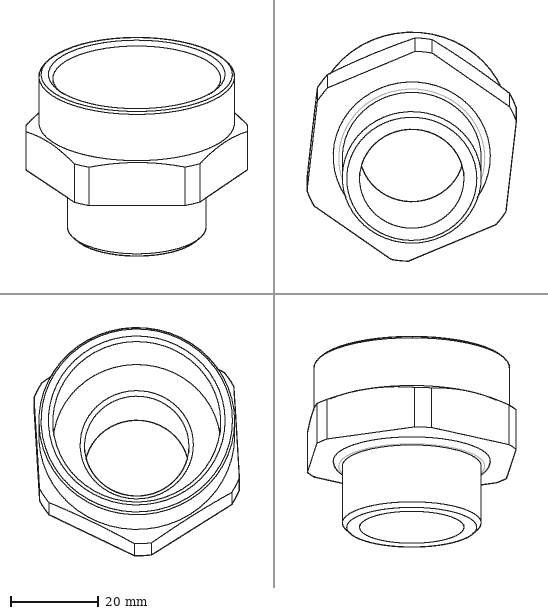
import cadquery as cq
import math

total_height = 39.0
hex_bottom = 16.0
hex_top = 27.0
socket_floor = 20.0

spigot_radius = 15.95
spigot_chamfer = 1.0

hex_across_flats = 46.0
hex_corner_radius = 25.5
hex_cone_angle = 25.0

collar_radius = 22.5
collar_chamfer = 0.5
socket_radius = 19.3
bore_radius = 12.0
mouth_chamfer = 1.0

ring_radius = 18.05
ring_thickness = 1.3


def cylinder(radius, bottom, top):
    return cq.Workplane("XY").workplane(offset=bottom).circle(radius).extrude(top - bottom)


def make_spigot():
    return cylinder(spigot_radius, 0, hex_bottom).faces("<Z").chamfer(spigot_chamfer)


def make_hexagon():
    """Hexagon with its corners turned round and its upper edge turned to a cone."""
    across_corners = hex_across_flats / math.cos(math.pi / 6)
    prism = (
        cq.Workplane("XY")
        .workplane(offset=hex_bottom)
        .transformed(rotate=(0, 0, 30))
        .polygon(6, across_corners)
        .extrude(hex_top - hex_bottom)
    )
    cone_drop = (hex_corner_radius - collar_radius) * math.tan(math.radians(hex_cone_angle))
    turned_blank = (
        cq.Workplane("XZ")
        .moveTo(0, hex_bottom)
        .lineTo(hex_corner_radius, hex_bottom)
        .lineTo(hex_corner_radius, hex_top - cone_drop)
        .lineTo(collar_radius, hex_top)
        .lineTo(0, hex_top)
        .close()
        .revolve()
    )
    return prism.intersect(turned_blank)


def make_collar():
    return cylinder(collar_radius, hex_top, total_height).faces(">Z").chamfer(collar_chamfer)


def make_chamfered_hole(radius, bottom, top):
    """Cutter for a round hole whose upper mouth is chamfered."""
    return (
        cq.Workplane("XZ")
        .moveTo(0, bottom)
        .lineTo(radius, bottom)
        .lineTo(radius, top - mouth_chamfer)
        .lineTo(radius + mouth_chamfer, top)
        .lineTo(0, top)
        .close()
        .revolve()
    )


def make_fitting():
    socket = make_chamfered_hole(socket_radius, socket_floor, total_height)
    bore = make_chamfered_hole(bore_radius, 0, socket_floor)
    return make_spigot().union(make_hexagon()).union(make_collar()).cut(socket).cut(bore)


def make_sealing_ring():
    """Ring seated against the hexagon, its outer side a quarter round widest at the top."""
    ring_bottom = hex_bottom - ring_thickness
    arc_center_radius = ring_radius - ring_thickness
    arc_reach = ring_thickness * math.sin(math.pi / 4)
    return (
        cq.Workplane("XZ")
        .moveTo(spigot_radius, hex_bottom)
        .lineTo(ring_radius, hex_bottom)
        .threePointArc(
            (arc_center_radius + arc_reach, hex_bottom - arc_reach),
            (arc_center_radius, ring_bottom),
        )
        .lineTo(spigot_radius, ring_bottom)
        .close()
        .revolve(360, (0, 0), (0, 1))
    )


fitting = make_fitting()
sealing_ring = make_sealing_ring()
result = cq.Compound.makeCompound([fitting.val(), sealing_ring.val()])